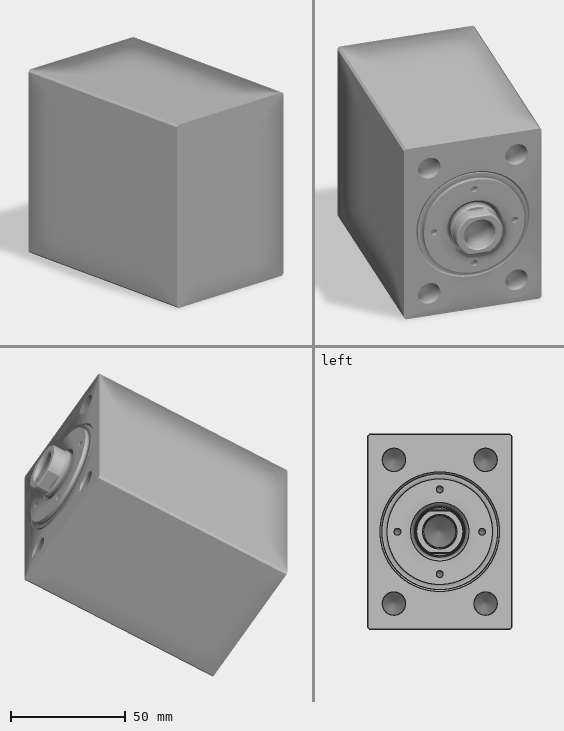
import cadquery as cq
import math


overall_length = 106.0
housing_width = 63.0
housing_height = 85.0
housing_edge_chamfer = 1.0

rod_dia = 22.0
rod_end_dia = 21.2
rod_end_length = 6.0
rod_flat_width = 19.0
rod_chamfer = 0.5
rod_bore_dia = 14.0
rod_bore_depth = 21.2
rod_bore_chamfer = 0.5

boss_dia = 46.0
boss_height = 2.0
gland_dia = 50.5
gland_depth = 21.2
gland_mouth_dia = 25.4
pin_hole_dia = 3.0
pin_hole_depth = 4.2
pin_hole_count = 4
pin_circle_radius = 18.4

gland_seat_chamfer = 0.8
mount_hole_dia = 10.2
mount_hole_depth = 21.2
mount_spacing_y = 40.0
mount_spacing_z = 62.6

drill_point_angle = 118.0

rod_collar_length = 2.0
rod_collar_x = -boss_height - rod_collar_length
rod_tip_x = rod_collar_x - rod_end_length
housing_length = overall_length + rod_tip_x


def cylinder(diameter, start_x, end_x):
    """Cylinder on the X axis between two X positions."""
    return cq.Workplane("YZ", origin=(start_x, 0, 0)).circle(diameter / 2).extrude(end_x - start_x)


def countersink(large_dia, small_dia, start_x):
    """45-degree cone on the X axis that narrows in +X from start_x."""
    depth = (large_dia - small_dia) / 2
    cone = cq.Solid.makeCone(
        large_dia / 2, small_dia / 2, depth, cq.Vector(start_x, 0, 0), cq.Vector(1, 0, 0)
    )
    return cq.Workplane(obj=cone)


def drilled_hole(diameter, depth, start_x, y=0, z=0):
    """Blind hole running in +X, with a conical drill point beyond its full-diameter depth."""
    radius = diameter / 2
    point_length = radius / math.tan(math.radians(drill_point_angle / 2))
    profile = (
        cq.Workplane("XY")
        .polyline([(0, 0), (0, radius), (depth, radius), (depth + point_length, 0)])
        .close()
    )
    return profile.revolve(360, (0, 0, 0), (1, 0, 0)).translate((start_x, y, z))


def make_housing():
    """Rectangular block with a chamfered seat for the gland and four mounting holes."""
    body = (
        cq.Workplane("YZ")
        .rect(housing_width, housing_height)
        .extrude(housing_length)
        .edges("|X")
        .chamfer(housing_edge_chamfer)
    )
    body = body.cut(cylinder(gland_dia, 0, gland_depth))
    body = body.cut(countersink(gland_dia + 2 * gland_seat_chamfer, gland_dia, 0))
    for y in (-mount_spacing_y / 2, mount_spacing_y / 2):
        for z in (-mount_spacing_z / 2, mount_spacing_z / 2):
            body = body.cut(drilled_hole(mount_hole_dia, mount_hole_depth, 0, y, z))
    return body


def make_gland():
    """Round insert with a front boss, a countersunk rod passage and a ring of pin holes."""
    body = cylinder(gland_dia, 0, gland_depth).union(cylinder(boss_dia, -boss_height, 0))
    body = body.cut(cylinder(rod_dia, -boss_height, gland_depth))
    body = body.cut(countersink(gland_mouth_dia, rod_dia, -boss_height))
    for index in range(pin_hole_count):
        angle = 2 * math.pi * index / pin_hole_count
        y = pin_circle_radius * math.cos(angle)
        z = pin_circle_radius * math.sin(angle)
        body = body.cut(drilled_hole(pin_hole_dia, pin_hole_depth, -boss_height, y, z))
    return body


def make_rod():
    """Rod with a reduced end that carries two wrench flats and an axial bore."""
    shank = cylinder(rod_dia, rod_collar_x, gland_depth).faces("<X").chamfer(rod_chamfer)
    flats = cq.Workplane("XY").box(overall_length, rod_end_dia, rod_flat_width)
    end = cylinder(rod_end_dia, rod_tip_x, rod_collar_x).intersect(flats)
    end = end.faces("<X").chamfer(rod_chamfer)
    body = shank.union(end)
    body = body.cut(drilled_hole(rod_bore_dia, rod_bore_depth, rod_tip_x))
    return body.cut(countersink(rod_bore_dia + 2 * rod_bore_chamfer, rod_bore_dia, rod_tip_x))


housing = make_housing()
gland = make_gland()
rod = make_rod()

result = cq.Compound.makeCompound([housing.val(), gland.val(), rod.val()])